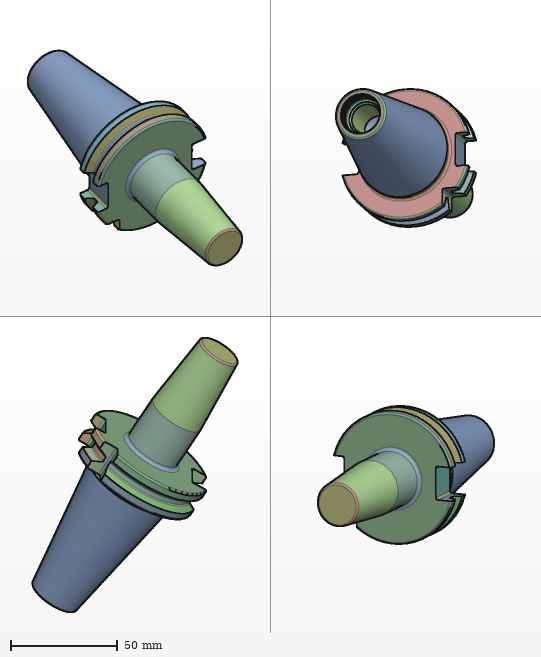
import cadquery as cq
import math

taper_length = 68.25
nose_reach = 80.0

gauge_radius = 22.225
taper_slope = 7 / 48
taper_end = -0.65
taper_end_radius = gauge_radius + taper_end * taper_slope
shank_end_radius = gauge_radius - taper_length * taper_slope
shank_end_round = 1.0

relief_start = 0.7
relief_radius = 21.87
relief_fillet = 1.2

flange_start = 3.2
flange_width = 15.8
flange_end = flange_start + flange_width
flange_radius = 31.755
flange_round = 1.0
groove_center = 11.05
groove_mouth_width = 7.4
groove_floor_radius = 28.0
groove_wall_angle = math.radians(30)
groove_floor_fillet = 0.8
groove_half_mouth = groove_mouth_width / 2
groove_depth = flange_radius - groove_floor_radius
groove_half_floor = groove_half_mouth - groove_depth * math.tan(groove_wall_angle)

slot_width = 16.16
slot_corner_radius = 1.2
front_slot_floor = 25.0
rear_slot_floor = 22.5
notch_side = 18.5
notch_top = 18.5
notch_corner_radius = 1.2
cutter_reach = flange_radius + 1.0

nose_radius = 13.5
nose_tip_radius = 10.5
nose_taper_angle = math.radians(4.5)
nose_taper_length = (nose_radius - nose_tip_radius) / math.tan(nose_taper_angle)
nose_fillet = 1.7
nose_tip_round = 1.0

mouth_radius = 9.7
outer_land_radius = 9.45
middle_land_radius = 9.28
inner_land_radius = 9.1
outer_land_start = 0.4
outer_land_end = 2.4
middle_land_start = 2.9
middle_land_end = 5.1
inner_land_start = 5.6
counterbore_depth = 8.44
counterbore_fillet = 0.7
thread_major_radius = 8.06
thread_minor_radius = 7.1
thread_depth = 30.0
drill_point_angle = math.radians(60)


def revolve_about_x(points):
    """Solid turned about the X axis from (x, radius) points."""
    outline = [(points[0][0], 0), *points]
    if points[-1][1] > 0:
        outline.append((points[-1][0], 0))
    return cq.Workplane("XY").polyline(outline).close().revolve(360, (0, 0, 0), (1, 0, 0))


def circle_edges_at(body, x, radius):
    """Circular edges about the X axis at the given station and radius."""
    tolerance = 0.01

    def matches(edge):
        on_station = abs(edge.Center().x - x) < tolerance
        return edge.geomType() == "CIRCLE" and on_station and abs(edge.radius() - radius) < tolerance

    return body.newObject([edge for edge in body.edges().vals() if matches(edge)])


def make_shank():
    return revolve_about_x([
        (-taper_length, shank_end_radius),
        (taper_end, taper_end_radius),
        (relief_start, relief_radius),
        (flange_start, relief_radius),
    ])


def make_flange():
    return revolve_about_x([
        (flange_start, flange_radius),
        (groove_center - groove_half_mouth, flange_radius),
        (groove_center - groove_half_floor, groove_floor_radius),
        (groove_center + groove_half_floor, groove_floor_radius),
        (groove_center + groove_half_mouth, flange_radius),
        (flange_end, flange_radius),
    ])


def make_nose():
    return revolve_about_x([
        (flange_end, nose_radius),
        (nose_reach - nose_taper_length, nose_radius),
        (nose_reach, nose_tip_radius),
    ])


def make_body():
    body = make_shank().union(make_flange()).union(make_nose())
    rounds = [
        (-taper_length, shank_end_radius, shank_end_round),
        (flange_start, relief_radius, relief_fillet),
        (flange_start, flange_radius, flange_round),
        (groove_center - groove_half_floor, groove_floor_radius, groove_floor_fillet),
        (groove_center + groove_half_floor, groove_floor_radius, groove_floor_fillet),
        (flange_end, flange_radius, flange_round),
        (flange_end, nose_radius, nose_fillet),
        (nose_reach, nose_tip_radius, nose_tip_round),
    ]
    for x, edge_radius, size in rounds:
        body = circle_edges_at(body, x, edge_radius).fillet(size)
    return body


def flange_cutter(y_inner, y_outer, z_low, z_high):
    """Block through the full flange width, from the inner to the outer Y and between two heights."""
    size = (flange_width, abs(y_outer - y_inner), z_high - z_low)
    middle = (flange_start + flange_width / 2, (y_inner + y_outer) / 2, (z_low + z_high) / 2)
    return cq.Workplane("XY").box(*size).translate(middle)


def make_drive_slots():
    half_width = slot_width / 2
    front = flange_cutter(-front_slot_floor, -cutter_reach, -half_width, half_width)
    rear = flange_cutter(rear_slot_floor, cutter_reach, -half_width, half_width)
    front = front.faces(">Y").edges("|X").fillet(slot_corner_radius)
    rear = rear.faces("<Y").edges("|X").fillet(slot_corner_radius)
    return front.union(rear)


def make_notch():
    notch = flange_cutter(-notch_side, -cutter_reach, -cutter_reach, -notch_top)
    return notch.edges("|X and >Y and >Z").fillet(notch_corner_radius)


def make_bore():
    lead_in = thread_major_radius - thread_minor_radius
    point_length = thread_minor_radius / math.tan(drill_point_angle)
    profile = [
        (0, mouth_radius),
        (outer_land_start, outer_land_radius),
        (outer_land_end, outer_land_radius),
        (middle_land_start, middle_land_radius),
        (middle_land_end, middle_land_radius),
        (inner_land_start, inner_land_radius),
        (counterbore_depth, inner_land_radius),
        (counterbore_depth, thread_major_radius),
        (counterbore_depth + lead_in, thread_minor_radius),
        (thread_depth, thread_minor_radius),
        (thread_depth + point_length, 0),
    ]
    bore = revolve_about_x([(depth - taper_length, radius) for depth, radius in profile])
    floor_edge = circle_edges_at(bore, counterbore_depth - taper_length, inner_land_radius)
    return floor_edge.fillet(counterbore_fillet)


result = make_body().cut(make_drive_slots()).cut(make_notch()).cut(make_bore())